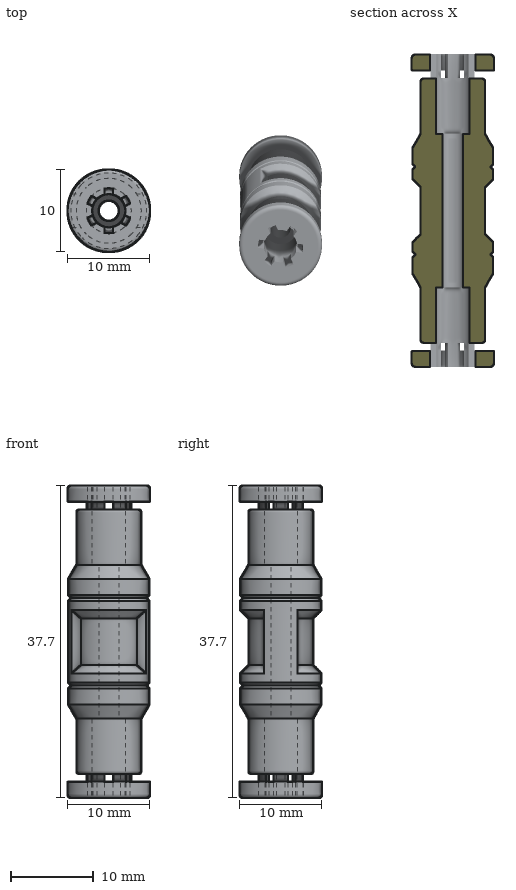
import cadquery as cq

length = 37.7
middle = length / 2

head_radius = 10.0 / 2
band_radius = 9.8 / 2
body_radius = 7.85 / 2
neck_radius = 5.43 / 2
bore_radius = 4.0 / 2
through_radius = 2.4 / 2

head_thickness = 2.0
neck_end = 2.9
taper_start = 9.58
taper_end = 11.27
groove_middle = 13.57
window_start = 15.05

head_outer_fillet = 0.5
head_inner_fillet = 0.2
body_fillet = 0.38
groove_depth = 0.35

slot_count = 6
slot_width = 1.0
bore_depth = taper_start
web_width = 4.0


def disc(radius, start, end):
    return cq.Workplane("XY").workplane(offset=start).circle(radius).extrude(end - start)


def revolve_profile(points):
    """Turn a closed (radius, height) profile around the Z axis."""
    return cq.Workplane("XZ").polyline(points).close().revolve(360, (0, 0, 0), (0, 1, 0))


def make_half():
    """Lower half of the pin, before the internal cuts."""
    head = disc(head_radius, 0, head_thickness)
    head = head.faces("<Z").edges().fillet(head_outer_fillet)
    head = head.faces(">Z").edges().fillet(head_inner_fillet)
    neck = disc(neck_radius, head_thickness, neck_end)
    body = revolve_profile([
        (0, neck_end),
        (body_radius, neck_end),
        (body_radius, taper_start),
        (band_radius, taper_end),
        (band_radius, groove_middle - groove_depth),
        (band_radius - groove_depth, groove_middle),
        (band_radius, groove_middle + groove_depth),
        (band_radius, middle),
        (0, middle),
    ])
    body = body.faces("<Z").edges().fillet(body_fillet)
    return head.union(neck).union(body)


def make_socket():
    """Blind bore with radial slots that split the neck into pillars."""
    slots = disc(through_radius, 0, neck_end)
    for index in range(slot_count):
        arm = (
            cq.Workplane("XY")
            .center(0, neck_radius / 2)
            .rect(slot_width, neck_radius)
            .extrude(neck_end)
            .rotate((0, 0, 0), (0, 0, 1), index * 360 / slot_count)
        )
        slots = slots.union(arm)
    slots = slots.intersect(disc(neck_radius, 0, neck_end))
    return disc(bore_radius, 0, bore_depth).union(slots)


def make_windows():
    """Ring recess with 45 degree ends, interrupted by a web on each X side."""
    recess_depth = band_radius - body_radius
    ring = revolve_profile([
        (body_radius, window_start + recess_depth),
        (band_radius, window_start),
        (head_radius, window_start),
        (head_radius, length - window_start),
        (band_radius, length - window_start),
        (body_radius, length - window_start - recess_depth),
    ])
    web = cq.Workplane("XY").box(2 * head_radius, web_width, length, centered=(True, True, False))
    return ring.cut(web)


half = make_half().cut(make_socket())
other_half = half.mirror("XY", (0, 0, middle))
through_hole = disc(through_radius, 0, length)

result = half.union(other_half).cut(through_hole).cut(make_windows())